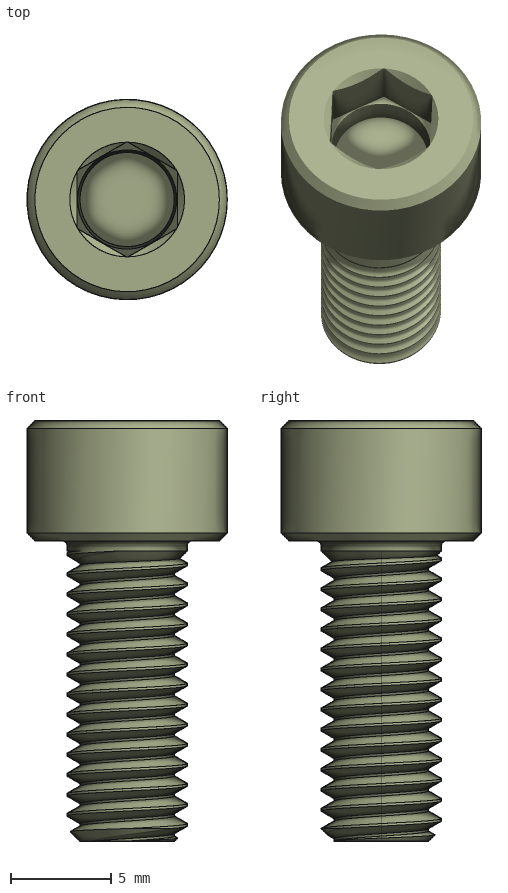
import cadquery as cq
import math


head_diameter = 10.0
head_height = 6.0
head_chamfer = 0.4

hex_across_flats = 5.0
hex_depth = 3.0
hex_mouth_diameter = 5.72
socket_well_diameter = 4.95
socket_floor_diameter = 4.7
socket_depth = 4.2

thread_diameter = 6.0
thread_pitch = 1.0
shank_length = 15.0
neck_length = 0.5
neck_fillet = 0.25
crest_phase = -0.17

thread_radius = thread_diameter / 2
flat_width = thread_pitch / 8
flank_slope = math.tan(math.radians(30))
thread_depth = (thread_pitch / 2 - flat_width) / 2 / flank_slope * 2
root_radius = thread_radius - thread_depth

cutter_margin = 0.05


def make_head():
    head = cq.Workplane("XY").circle(head_diameter / 2).extrude(head_height)
    return head.faces("<Z or >Z").chamfer(head_chamfer)


def make_shank():
    """Plain shank with a 45 degree tip and a fillet that flares out under the head."""
    flare_radius = thread_radius + neck_fillet
    tip_chamfer = thread_depth
    fillet_middle = neck_fillet * (1 - math.sqrt(0.5))
    return (
        cq.Workplane("XZ")
        .moveTo(0, 0)
        .lineTo(flare_radius, 0)
        .threePointArc((thread_radius + fillet_middle, -fillet_middle), (thread_radius, -neck_fillet))
        .lineTo(thread_radius, tip_chamfer - shank_length)
        .lineTo(root_radius, -shank_length)
        .lineTo(0, -shank_length)
        .close()
        .revolve()
    )


def make_groove_turn():
    """One full turn of the V groove, its profile centred on Z = 0 where it starts on the +X side."""
    outer_radius = thread_radius + cutter_margin
    root_half_width = flat_width / 2
    mouth_half_width = root_half_width + (outer_radius - root_radius) * flank_slope
    profile = [
        (root_radius, -root_half_width),
        (outer_radius, -mouth_half_width),
        (outer_radius, mouth_half_width),
        (root_radius, root_half_width),
    ]
    helices = [
        cq.Wire.makeHelix(thread_pitch, thread_pitch, radius, center=cq.Vector(0, 0, height))
        for radius, height in profile
    ]
    sides = [
        cq.Face.makeRuledSurface(helix, helices[index - 1])
        for index, helix in enumerate(helices)
    ]
    ends = [
        cq.Face.makeFromWires(
            cq.Wire.makePolygon([cq.Vector(radius, 0, end + height) for radius, height in profile], close=True)
        )
        for end in (0, thread_pitch)
    ]
    return cq.Solid.makeSolid(cq.Shell.makeShell(sides + ends)).fix()


def make_thread_groove():
    """Turns of the groove from past the tip up to the neck, where a cone runs them out."""
    groove_start = crest_phase - thread_pitch / 2 - shank_length - thread_pitch
    turn_count = math.ceil((shank_length - neck_length) / thread_pitch) + 2
    runout_bottom = -neck_length - thread_depth
    turn = make_groove_turn()
    guard = make_runout_guard()
    turns = []
    for index in range(turn_count):
        turn_start = groove_start + index * thread_pitch
        placed_turn = turn.translate(cq.Vector(0, 0, turn_start))
        if turn_start + 2 * thread_pitch > runout_bottom:
            placed_turn = placed_turn.cut(guard)
        turns.append(placed_turn)
    return turns


def make_runout_guard():
    """Neck region that the groove must leave untouched."""
    guard_radius = thread_radius + 2 * cutter_margin
    guard_top = 2 * thread_pitch
    cone_end = -neck_length - thread_radius
    return (
        cq.Workplane("XZ")
        .moveTo(0, guard_top)
        .lineTo(guard_radius, guard_top)
        .lineTo(guard_radius, -neck_length)
        .lineTo(thread_radius, -neck_length)
        .lineTo(0, cone_end)
        .close()
        .revolve()
        .val()
    )


def make_socket():
    """Hexagon with a 45 degree countersunk mouth and a tapered round well below it."""
    hex_floor = head_height - hex_depth
    socket_floor = head_height - socket_depth
    mouth_radius = hex_mouth_diameter / 2
    hexagon = (
        cq.Workplane("XY", origin=(0, 0, hex_floor))
        .polygon(6, hex_across_flats, circumscribed=True)
        .extrude(hex_depth)
    )
    corner_limit = cq.Workplane("XY", origin=(0, 0, hex_floor)).circle(mouth_radius).extrude(hex_depth)
    mouth = cq.Workplane(cq.Solid.makeCone(0, mouth_radius, mouth_radius))
    mouth = mouth.translate((0, 0, head_height - mouth_radius))
    well = cq.Workplane(
        cq.Solid.makeCone(socket_floor_diameter / 2, socket_well_diameter / 2, hex_floor - socket_floor)
    ).translate((0, 0, socket_floor))
    return hexagon.intersect(corner_limit).union(mouth).union(well)


threaded_shank = make_shank().val().cut(*make_thread_groove())
result = make_head().union(cq.Workplane(threaded_shank)).cut(make_socket())